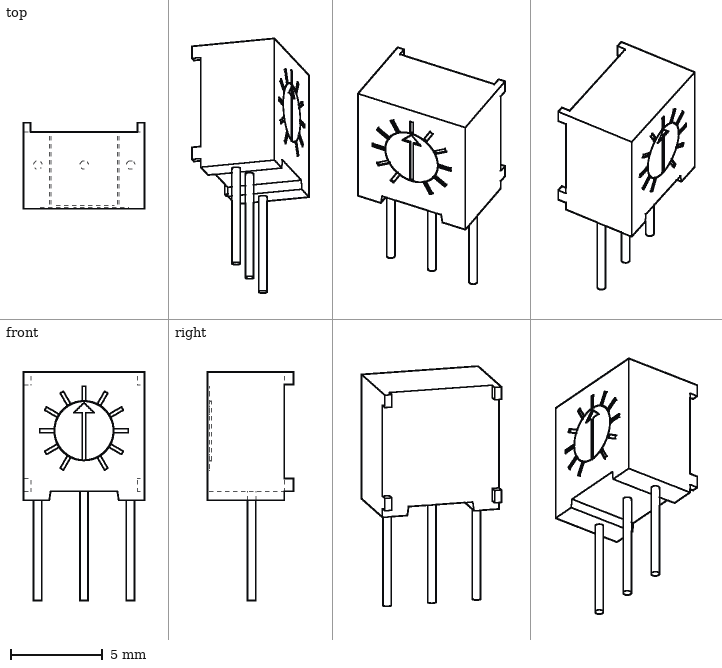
import cadquery as cq
import math


width = 6.6
total_depth = 4.7
total_height = 12.46
body_height = 7.0

foot_width = 0.4
foot_height = 0.7
foot_depth = 0.5
lower_foot_bottom = 0.5
body_depth = total_depth - foot_depth

notch_height = 0.5
notch_top_width = 3.63
notch_bottom_width = 3.78

pin_diameter = 0.46
pin_pitch = 2.53
pin_setback = 2.4
pin_length = total_height - body_height
pin_embed = 0.75

dial_recess_diameter = 3.25
dial_diameter = 3.2
dial_centre_z = body_height - 3.2
engraving_depth = 0.1
dial_gap_depth = 0.2

mark_width = 0.2
mark_outer_radius = 2.42
mark_step = 30
first_mark_angle = -60
last_mark_angle = 240

arrow_tip_height = 1.52
arrow_head_base_height = 0.97
arrow_head_width = 1.12
arrow_shaft_width = 0.2


def make_foot(side, bottom):
    """Foot flush with one side of the housing: side is -1 or 1."""
    centre_x = side * (width - foot_width) / 2
    return (
        cq.Workplane("XY")
        .box(foot_width, foot_depth, foot_height, centered=(True, False, False))
        .translate((centre_x, body_depth, bottom))
    )


def make_housing():
    """Block with a tapered notch below and four feet behind."""
    housing = cq.Workplane("XY").box(width, body_depth, body_height, centered=(True, False, False))
    notch = (
        cq.Workplane("XZ")
        .polyline([
            (-notch_bottom_width / 2, 0),
            (-notch_top_width / 2, notch_height),
            (notch_top_width / 2, notch_height),
            (notch_bottom_width / 2, 0),
        ])
        .close()
        .extrude(-body_depth)
    )
    housing = housing.cut(notch)
    for side in (-1, 1):
        for bottom in (lower_foot_bottom, body_height - foot_height):
            housing = housing.union(make_foot(side, bottom))
    return housing


def dial_plane():
    """Front-face plane centred on the dial; negative extrusion goes into the housing."""
    return cq.Workplane("XZ", origin=(0, 0, dial_centre_z))


def make_dial_gap():
    """Thin ring-shaped groove around the dial, deeper than the engraving."""
    return (
        dial_plane()
        .circle(dial_recess_diameter / 2)
        .circle(dial_diameter / 2)
        .extrude(-dial_gap_depth)
    )


def make_mark(angle):
    """Radial scale groove that opens into the gap around the dial."""
    inner_radius = math.sqrt((dial_diameter / 2) ** 2 - (mark_width / 2) ** 2)
    return (
        dial_plane()
        .center((inner_radius + mark_outer_radius) / 2, 0)
        .rect(mark_outer_radius - inner_radius, mark_width)
        .extrude(-engraving_depth)
        .rotate((0, 0, dial_centre_z), (0, -1, dial_centre_z), angle)
    )


def make_arrow():
    """Arrow groove pointing up, its shaft running out at the dial's lower edge."""
    half_head = arrow_head_width / 2
    half_shaft = arrow_shaft_width / 2
    shaft_end = -dial_diameter / 2
    return (
        dial_plane()
        .polyline([
            (0, arrow_tip_height),
            (half_head, arrow_head_base_height),
            (half_shaft, arrow_head_base_height),
            (half_shaft, shaft_end),
            (-half_shaft, shaft_end),
            (-half_shaft, arrow_head_base_height),
            (-half_head, arrow_head_base_height),
        ])
        .close()
        .extrude(-engraving_depth)
    )


def make_pins():
    """Three round pins in a row, rooted inside the housing."""
    return (
        cq.Workplane("XY", origin=(0, 0, -pin_length))
        .pushPoints([(place * pin_pitch, pin_setback) for place in (-1, 0, 1)])
        .circle(pin_diameter / 2)
        .extrude(pin_length + pin_embed)
    )


result = make_housing().cut(make_dial_gap()).cut(make_arrow())
for mark_angle in range(first_mark_angle, last_mark_angle + 1, mark_step):
    result = result.cut(make_mark(mark_angle))
result = result.union(make_pins())